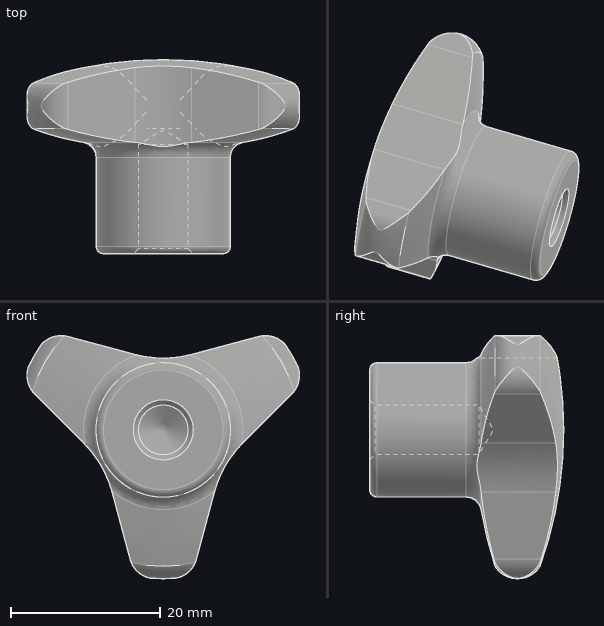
import cadquery as cq
import math

knob_length = 26.0
rim_radius = 19.95
rim_edge_radius = 18.27
front_dome_radius = 54.08
back_dome_radius = 60.65
head_thickness = 12.05

hub_diameter = 18.0
hub_end_fillet = 1.0
hub_root_fillet = 2.0

bore_diameter = 6.65
bore_mouth_diameter = 8.05
bore_depth = 14.6
bore_tip_angle = 118

lobe_count = 3
lobe_taper = 15
flank_distance = 9.1
notch_fillet = 14.6
lobe_tip_fillet = 3.58


def polar_point(radius, degrees):
    """Point in the XZ plane at an angle from +X toward +Z."""
    angle = math.radians(degrees)
    return (radius * math.cos(angle), radius * math.sin(angle))


def dome_drop(dome_radius, radius):
    """Axial drop of a dome below its apex at a given distance from the axis."""
    return dome_radius - math.sqrt(dome_radius**2 - radius**2)


def make_round_body():
    """Lens-shaped head on a hub, turned as one piece with the hub end and root rounded."""
    hub_radius = hub_diameter / 2
    middle_radius = (hub_radius + rim_edge_radius) / 2

    def back_point(radius):
        return (radius, knob_length - head_thickness + dome_drop(back_dome_radius, radius))

    def front_point(radius):
        return (radius, knob_length - dome_drop(front_dome_radius, radius))

    rim_middle = (back_point(rim_edge_radius)[1] + front_point(rim_edge_radius)[1]) / 2
    body = (
        cq.Workplane("XY")
        .lineTo(hub_radius, 0)
        .lineTo(*back_point(hub_radius))
        .threePointArc(back_point(middle_radius), back_point(rim_edge_radius))
        .threePointArc((rim_radius, rim_middle), front_point(rim_edge_radius))
        .threePointArc(front_point(middle_radius), front_point(0))
        .close()
        .revolve(360, (0, 0, 0), (0, 1, 0))
    )
    body = body.faces("%CYLINDER").edges(">Y").fillet(hub_root_fillet)
    return body.faces("<Y").edges().fillet(hub_end_fillet)


def make_lobe_prism():
    """Tapered three-lobed column that trims the round body."""
    taper = math.radians(lobe_taper)
    tip_half_width = flank_distance - rim_radius * math.tan(taper)
    tip_radius = math.hypot(rim_radius, tip_half_width)
    tip_spread = math.degrees(math.atan2(tip_half_width, rim_radius))
    pitch = 360 / lobe_count
    points = []
    for lobe in range(lobe_count):
        lobe_angle = -90 + lobe * pitch
        points.append(polar_point(tip_radius, lobe_angle - tip_spread))
        points.append(polar_point(tip_radius, lobe_angle + tip_spread))
        points.append(polar_point(flank_distance, lobe_angle + pitch / 2))
    prism = cq.Workplane("XZ").polyline(points).close().extrude(-knob_length)
    notch_limit = (flank_distance + tip_radius) / 2

    def axis_distance(edge):
        return math.hypot(edge.Center().x, edge.Center().z)

    prism = prism.edges("|Y").filter(lambda edge: axis_distance(edge) < notch_limit).fillet(notch_fillet)
    tips = prism.edges("|Y").filter(lambda edge: axis_distance(edge) > notch_limit)
    return tips.fillet(lobe_tip_fillet)


def make_bore():
    """Blind hole with a 45 degree mouth chamfer and a conical bottom."""
    bore_radius = bore_diameter / 2
    mouth_radius = bore_mouth_diameter / 2
    cone_depth = bore_radius / math.tan(math.radians(bore_tip_angle / 2))
    return (
        cq.Workplane("XY")
        .polyline([
            (0, 0),
            (mouth_radius, 0),
            (bore_radius, mouth_radius - bore_radius),
            (bore_radius, bore_depth),
            (0, bore_depth + cone_depth),
        ])
        .close()
        .revolve(360, (0, 0, 0), (0, 1, 0))
    )


result = make_round_body().intersect(make_lobe_prism()).cut(make_bore())